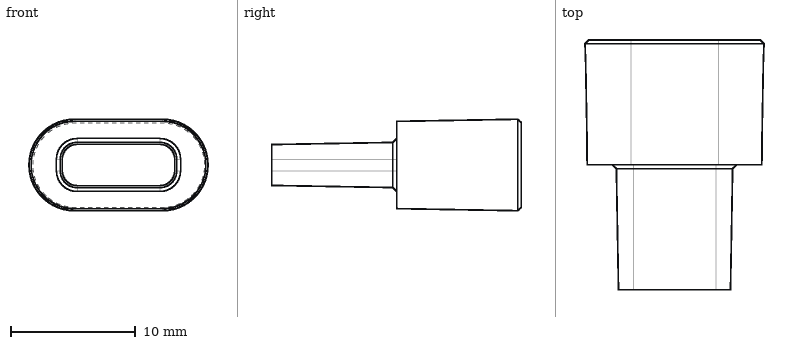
import cadquery as cq

GRIP_LENGTH = 10.0
GRIP_WIDTH = 14.0
GRIP_HEIGHT = 7.0
GRIP_END_CHAMFER = 0.3

PLUG_LENGTH = 10.0
PLUG_TIP_WIDTH = 8.98
PLUG_TIP_HEIGHT = 3.29
PLUG_TIP_CORNER_RADIUS = 1.175
PLUG_ROOT_CHAMFER = 0.3

DRAFT_ANGLE = 1.0


def section_plane(y):
    """Plane across the part at the given Y, facing +Y, with its local x along X."""
    return cq.Plane(origin=(0, y, 0), xDir=(1, 0, 0), normal=(0, 1, 0))


def make_grip():
    """Drafted stadium block with its far end edge chamfered."""
    grip = (
        cq.Workplane(section_plane(0))
        .slot2D(GRIP_WIDTH, GRIP_HEIGHT)
        .extrude(GRIP_LENGTH, taper=-DRAFT_ANGLE)
    )
    return grip.faces(">Y").edges().chamfer(GRIP_END_CHAMFER)


def make_plug():
    """Drafted rounded bar running from the tip to the shoulder."""
    tip_section = (
        cq.Sketch()
        .rect(PLUG_TIP_WIDTH, PLUG_TIP_HEIGHT)
        .vertices()
        .fillet(PLUG_TIP_CORNER_RADIUS)
    )
    return (
        cq.Workplane(section_plane(-PLUG_LENGTH))
        .placeSketch(tip_section)
        .extrude(PLUG_LENGTH, taper=-DRAFT_ANGLE)
    )


def bevel_plug_root(body):
    """Bevel the inner corner where the plug meets the shoulder."""
    shoulder = body.faces("|Y").faces(">Y[1]")
    inner_wire = shoulder.val().innerWires()[0]
    return body.newObject(inner_wire.Edges()).chamfer(PLUG_ROOT_CHAMFER)


result = bevel_plug_root(make_grip().union(make_plug()))